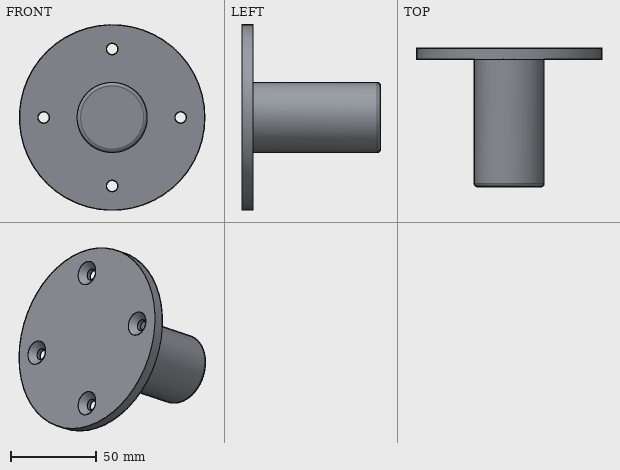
import cadquery as cq

flange_diameter = 108.5
flange_thickness = 6.5

overall_depth = 81.0
post_diameter = 41.0
post_edge_radius = 2.1

hole_count = 4
hole_diameter = 6.5
hole_circle_radius = 40.0
countersink_diameter = 14.0
countersink_angle = 90.0


def make_flange():
    disc = cq.Workplane("XZ").circle(flange_diameter / 2).extrude(flange_thickness)
    return (
        disc.faces(">Y")
        .workplane(origin=(0, 0, 0))
        .polarArray(hole_circle_radius, 0, 360, hole_count)
        .cskHole(hole_diameter, countersink_diameter, countersink_angle)
    )


def make_post():
    post = cq.Workplane("XZ").circle(post_diameter / 2).extrude(overall_depth)
    return post.faces("<Y").edges().fillet(post_edge_radius)


result = make_flange().union(make_post())